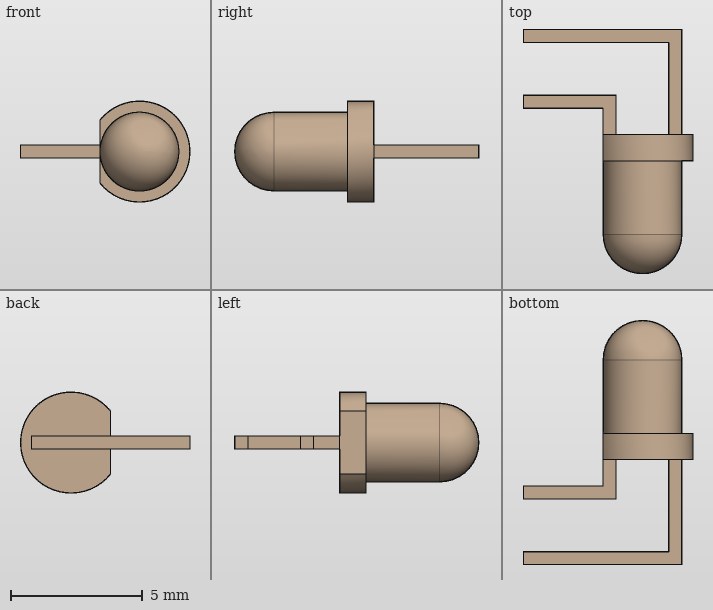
import cadquery as cq

lens_diameter = 3.0
lens_radius = lens_diameter / 2
flange_diameter = 3.85
flange_radius = flange_diameter / 2
flange_thickness = 1.0

lead_width = 0.5
long_lead_depth = 3.995
short_lead_depth = 1.5
overall_length = 9.29
overall_width = 6.45

lens_tip_y = long_lead_depth - overall_length
dome_start_y = lens_tip_y + lens_radius
lead_end_x = flange_radius - overall_width
flat_x = -lens_radius


def make_lens():
    """Cylinder and hemispherical dome, revolved about the Y axis."""
    dome_mid = lens_radius * 0.5 ** 0.5
    return (
        cq.Workplane("XY")
        .lineTo(lens_radius, 0)
        .lineTo(lens_radius, dome_start_y)
        .threePointArc((dome_mid, dome_start_y - dome_mid), (0, lens_tip_y))
        .close()
        .revolve(360, (0, 0, 0), (0, 1, 0))
    )


def make_flange():
    """Round flange with the polarity flat on its -X side."""
    disc = cq.Workplane("XZ").circle(flange_radius).extrude(flange_thickness)
    keep = cq.Workplane("XY").box(
        flange_radius - flat_x, flange_thickness, flange_diameter, centered=(False, False, True)
    ).translate((flat_x, -flange_thickness, 0))
    return disc.intersect(keep)


def make_lead(outer_x, depth):
    """Square lead leaving the flange along +Y and bent sharply towards -X."""
    inner_x = outer_x - lead_width
    inner_y = depth - lead_width
    return (
        cq.Workplane("XY")
        .workplane(offset=-lead_width / 2)
        .moveTo(outer_x, 0)
        .lineTo(outer_x, depth)
        .lineTo(lead_end_x, depth)
        .lineTo(lead_end_x, inner_y)
        .lineTo(inner_x, inner_y)
        .lineTo(inner_x, 0)
        .close()
        .extrude(lead_width)
    )


long_lead = make_lead(lens_radius, long_lead_depth)
housing = make_lens().union(make_flange()).union(long_lead)

short_lead = make_lead(flat_x + lead_width, short_lead_depth)

result = cq.Compound.makeCompound([housing.solids().val(), short_lead.val()])